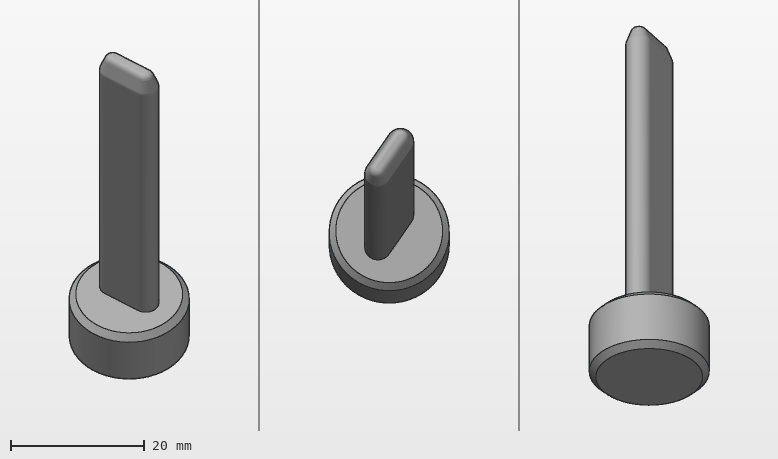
import cadquery as cq
import math

total_height = 60.0
head_diameter = 18.0
head_height = total_height / 6
edge_size = head_height / 10
blade_width = head_height
blade_thickness = 0.4 * blade_width
tip_height = 3.0
tip_taper = 20.0

rounding_setback = edge_size * math.tan(math.radians(tip_taper / 2))
taper_height = tip_height - rounding_setback
taper_start = total_height - taper_height


def make_head():
    """Round head with chamfered top and bottom rims."""
    cylinder = cq.Workplane("XY").circle(head_diameter / 2).extrude(head_height)
    return cylinder.edges("%CIRCLE").chamfer(edge_size)


def blade_outline(base_height):
    """Flat outline with fully rounded ends, at the given height."""
    return cq.Workplane("XY").workplane(offset=base_height).slot2D(blade_width, blade_thickness)


def make_blade():
    """Straight blade with a tapered tip, rounded at its start and its top."""
    shank = blade_outline(head_height).extrude(taper_start - head_height)
    tip = blade_outline(taper_start).extrude(taper_height, taper=tip_taper)
    blade = shank.union(tip)
    taper_edges = cq.selectors.BoxSelector(
        (-blade_width, -blade_thickness, taper_start - edge_size),
        (blade_width, blade_thickness, taper_start + edge_size),
    )
    blade = blade.faces(">Z").edges().fillet(edge_size)
    return blade.edges(taper_edges).fillet(edge_size)


result = make_head().union(make_blade())